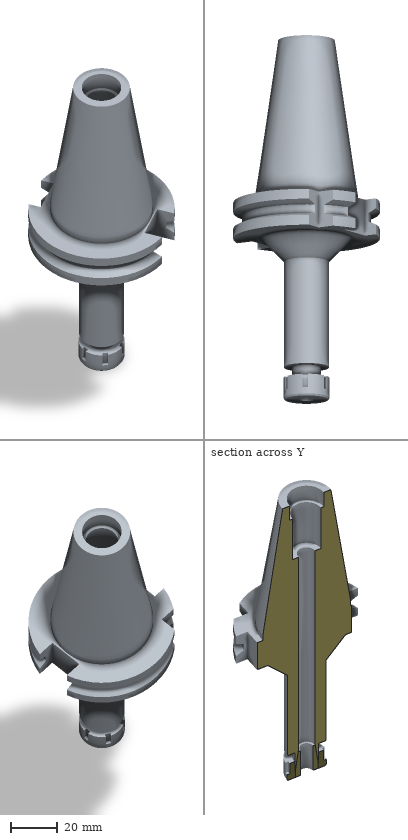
import cadquery as cq
import math


total_height = 158.4
taper_length = 68.5
gauge_z = total_height - taper_length
collar_height = 3.2
flange_top_z = gauge_z - collar_height
flange_height = 15.8
flange_bottom_z = flange_top_z - flange_height
flange_middle_z = flange_top_z - flange_height / 2
shank_top_z = 60.8
shank_end_z = 14.3
nut_height = 9.5

gauge_diameter = 44.5
taper_ratio = 7 / 24
taper_end_diameter = gauge_diameter - taper_length * taper_ratio
flange_diameter = 63.5
groove_root_diameter = 56.0
groove_mouth_width = 7.1
groove_root_width = 3.6

drive_slot_width = 16.0
left_slot_floor = 25.0
right_slot_floor = 22.8
notch_offset = 18.4

shank_diameter = 19.6
cone_top_diameter = 39.3
nose_diameter = 12.4
nose_end_z = 3.2

counterbore_diameter = 17.1
counterbore_depth = 8.2
thread_bore_diameter = 14.3
thread_bore_depth = 31.7
through_bore_diameter = 8.2

collet_bore_diameter = 6.2
collet_half_angle = 8.0
collet_front_diameter = 11.4
collet_cone_length = (
    (collet_front_diameter - through_bore_diameter) / 2 / math.tan(math.radians(collet_half_angle))
)
collet_rim_height = nose_end_z

nut_diameter = 20.0
nut_chamfer_height = 0.8
nut_chamfer_width = 0.5
wrench_slot_count = 6
wrench_slot_width = 2.4
wrench_slot_height = 5.9
wrench_slot_depth = 1.5


def revolve_profile(points):
    """Revolve a closed (radius, height) outline about the Z axis."""
    return cq.Workplane("XZ").polyline(points).close().revolve(360, (0, 0, 0), (0, 1, 0))


def cylinder(diameter, bottom_z, top_z):
    return cq.Workplane("XY").workplane(offset=bottom_z).circle(diameter / 2).extrude(top_z - bottom_z)


def flange_box(x_min, x_max, y_min, y_max):
    """A box as tall as the flange, for cutting its rim."""
    return cq.Workplane("XY").box(
        x_max - x_min, y_max - y_min, flange_height, centered=False
    ).translate((x_min, y_min, flange_bottom_z))


def make_holder_blank():
    flange_radius = flange_diameter / 2
    groove_radius = groove_root_diameter / 2
    return revolve_profile([
        (0, total_height),
        (taper_end_diameter / 2, total_height),
        (gauge_diameter / 2, gauge_z),
        (gauge_diameter / 2, flange_top_z),
        (flange_radius, flange_top_z),
        (flange_radius, flange_middle_z + groove_mouth_width / 2),
        (groove_radius, flange_middle_z + groove_root_width / 2),
        (groove_radius, flange_middle_z - groove_root_width / 2),
        (flange_radius, flange_middle_z - groove_mouth_width / 2),
        (flange_radius, flange_bottom_z),
        (cone_top_diameter / 2, flange_bottom_z),
        (shank_diameter / 2, shank_top_z),
        (shank_diameter / 2, shank_end_z),
        (nose_diameter / 2, shank_end_z),
        (nose_diameter / 2, nose_end_z),
        (0, nose_end_z),
    ])


def cut_flange_rim(holder):
    """Cut the two drive slots and the corner-shaped index notch."""
    half_width = drive_slot_width / 2
    reach = flange_diameter
    left_slot = flange_box(-reach, -left_slot_floor, -half_width, half_width)
    right_slot = flange_box(right_slot_floor, reach, -half_width, half_width)
    notch = flange_box(-reach, -notch_offset, notch_offset, reach)
    return holder.cut(left_slot).cut(right_slot).cut(notch)


def make_collet_envelope():
    """The solid outer shape of the collet: a straight rim and a cone above it."""
    return revolve_profile([
        (0, 0),
        (collet_front_diameter / 2, 0),
        (collet_front_diameter / 2, collet_rim_height),
        (through_bore_diameter / 2, collet_rim_height + collet_cone_length),
        (0, collet_rim_height + collet_cone_length),
    ])


def make_holder():
    holder = cut_flange_rim(make_holder_blank())
    counterbore = cylinder(counterbore_diameter, total_height - counterbore_depth, total_height)
    thread_bore = cylinder(thread_bore_diameter, total_height - thread_bore_depth, total_height)
    through_bore = cylinder(through_bore_diameter, nose_end_z, total_height)
    holder = holder.cut(counterbore).cut(thread_bore).cut(through_bore)
    return holder.cut(make_collet_envelope())


def make_collet():
    bore = cylinder(collet_bore_diameter, 0, collet_rim_height + collet_cone_length)
    return make_collet_envelope().cut(bore)


def make_nut():
    radius = nut_diameter / 2
    nut = revolve_profile([
        (0, 0),
        (radius - nut_chamfer_width, 0),
        (radius, nut_chamfer_height),
        (radius, nut_height),
        (0, nut_height),
    ])
    nut = nut.cut(cylinder(collet_front_diameter, 0, nose_end_z))
    nut = nut.cut(cylinder(nose_diameter, nose_end_z, nut_height))
    wrench_slot = cq.Workplane("XY").box(
        radius, wrench_slot_width, wrench_slot_height, centered=(False, True, False)
    ).translate((radius - wrench_slot_depth, 0, nut_height - wrench_slot_height))
    for index in range(wrench_slot_count):
        angle = index * 360 / wrench_slot_count
        nut = nut.cut(wrench_slot.rotate((0, 0, 0), (0, 0, 1), angle))
    return nut


holder = make_holder()
collet = make_collet()
nut = make_nut()

result = cq.Compound.makeCompound([holder.solids().val(), collet.solids().val(), nut.solids().val()])